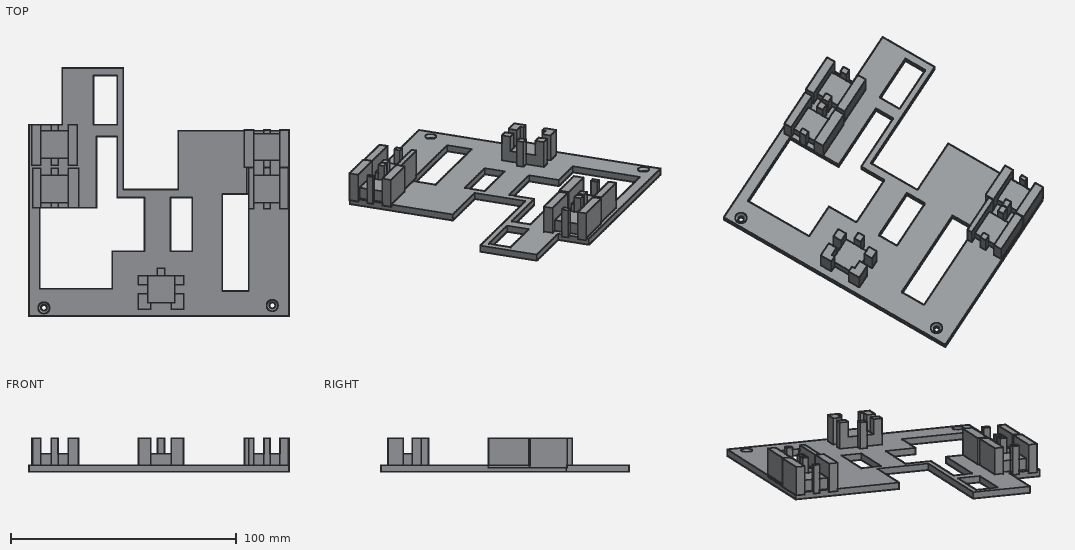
import cadquery as cq

plate_length = 115.5
plate_depth = 110.0
plate_thickness = 3.0
total_height = 15.0
block_top = 8.1
seat_depth = 1.0
seat_floor = plate_thickness - seat_depth

tab_left = 14.8
tab_right = 41.9
left_shoulder_y = 84.9
right_shoulder_y = 82.2
bay_floor_y = 56.2
bay_right = 66.2

opening_left = 5.0
opening_right = 51.3
opening_front = 12.2
opening_step_x = 37.0
shelf_front = 48.0
neck_left = 30.1
neck_right = 39.1
neck_back = 79.6

tab_slot_left = 28.8
tab_slot_back = 106.6
window_left = 62.9
window_right = 72.4
window_front = 28.9
window_back = 52.5
side_slot_left = 85.8
side_slot_right = 97.5
side_slot_front = 11.2
side_slot_back = 54.0

screw_hole_diameter = 2.5
countersink_diameter = 5.1
countersink_angle = 90
screw_hole_centers = [(6.7, 3.7), (108.0, 4.7)]

cradle_center_x = 58.7
cradle_block_size = 12.0
cradle_block_front = 5.9
cradle_side_post = 4.0
cradle_back_post_width = 3.2
cradle_back_post_depth = 3.2
corner_post_front = 3.1
corner_post_back = 9.9
corner_post_inner_offset = 4.5

left_inner_walls = (5.4, 17.4)
left_post_x = (9.9, 13.0)
right_inner_walls = (99.8, 111.3)
right_post_x = (104.3, 107.0)
front_block_y = (50.3, 62.5)
right_front_wall_y = (47.7, 65.7)

clearance_width = 0.9


def box(x_range, y_range, z_range):
    """Box spanning the given coordinate ranges."""
    (x0, x1), (y0, y1), (z0, z1) = x_range, y_range, z_range
    return cq.Workplane("XY").box(x1 - x0, y1 - y0, z1 - z0, centered=False).translate((x0, y0, z0))


def plate_cutter(x_range, y_range):
    """Rectangular cutter through the whole plate."""
    return box(x_range, y_range, (0, plate_thickness))


def make_flat_plate():
    """Stepped plate with its openings and countersunk screw holes."""
    outline = [
        (0, 0),
        (plate_length, 0),
        (plate_length, right_shoulder_y),
        (bay_right, right_shoulder_y),
        (bay_right, bay_floor_y),
        (tab_right, bay_floor_y),
        (tab_right, plate_depth),
        (tab_left, plate_depth),
        (tab_left, left_shoulder_y),
        (0, left_shoulder_y),
    ]
    stepped_opening = [
        (opening_left, opening_front),
        (opening_step_x, opening_front),
        (opening_step_x, window_front),
        (opening_right, window_front),
        (opening_right, window_back),
        (neck_right, window_back),
        (neck_right, neck_back),
        (neck_left, neck_back),
        (neck_left, shelf_front),
        (opening_left, shelf_front),
    ]
    flat = cq.Workplane("XY").polyline(outline).close().extrude(plate_thickness)
    flat = flat.cut(cq.Workplane("XY").polyline(stepped_opening).close().extrude(plate_thickness))
    flat = flat.cut(plate_cutter((tab_slot_left, neck_right), (left_shoulder_y, tab_slot_back)))
    flat = flat.cut(plate_cutter((window_left, window_right), (window_front, window_back)))
    flat = flat.cut(plate_cutter((side_slot_left, side_slot_right), (side_slot_front, side_slot_back)))
    return (
        flat.faces(">Z")
        .workplane(origin=(0, 0, plate_thickness))
        .pushPoints(screw_hole_centers)
        .cskHole(screw_hole_diameter, countersink_diameter, countersink_angle)
    )


def make_cradle():
    """Low block with two rear side posts, two L-shaped front posts and one post behind."""
    post_z = (plate_thickness, total_height)
    half_block = cradle_block_size / 2
    half_width = half_block + cradle_side_post
    half_back_post = cradle_back_post_width / 2
    block_back = cradle_block_front + cradle_block_size
    cradle = box((-half_block, half_block), (cradle_block_front, block_back), (plate_thickness, block_top))
    back_post_y = (block_back, block_back + cradle_back_post_depth)
    cradle = cradle.union(box((-half_back_post, half_back_post), back_post_y, post_z))
    side_x = (half_block, half_width)
    side_post = box(side_x, (block_back - cradle_side_post, block_back), post_z)
    corner_post = box(side_x, (corner_post_front, corner_post_back), post_z).union(
        box((corner_post_inner_offset, half_width), (corner_post_front, cradle_block_front), post_z)
    )
    for post in (side_post, corner_post):
        cradle = cradle.union(post).union(post.mirror("YZ"))
    return cradle.translate((cradle_center_x, 0, 0))


def make_holder(outer_walls, inner_walls, post_x, wall_y, block_y):
    """Low block between two tall side walls, with a post at each open end; its foot sits in the plate."""
    tall_z = (seat_floor, total_height)
    holder = box(inner_walls, block_y, (seat_floor, block_top))
    holder = holder.union(box((outer_walls[0], inner_walls[0]), wall_y, tall_z))
    holder = holder.union(box((inner_walls[1], outer_walls[1]), wall_y, tall_z))
    holder = holder.union(box(post_x, (wall_y[0], block_y[0]), tall_z))
    return holder.union(box(post_x, (block_y[1], wall_y[1]), tall_z))


def make_clearance():
    """Narrow strip at seat depth along the left wall of the right front holder."""
    strip_x = (side_slot_right - clearance_width, side_slot_right)
    strip_y = (side_slot_back, right_front_wall_y[1])
    return box(strip_x, strip_y, (seat_floor, plate_thickness))


holder_layouts = [
    ((1.4, 21.6), left_inner_walls, left_post_x, (67.0, left_shoulder_y), (70.1, 82.2)),
    ((1.8, 22.0), left_inner_walls, left_post_x, (shelf_front, 65.6), front_block_y),
    ((95.6, plate_length), right_inner_walls, right_post_x, (66.0, 82.6), (69.2, 80.8)),
    ((side_slot_right, 115.1), right_inner_walls, right_post_x, right_front_wall_y, front_block_y),
]
holders = [make_holder(*layout) for layout in holder_layouts]

plate = make_flat_plate().union(make_cradle()).cut(make_clearance())
for holder in holders:
    plate = plate.cut(holder)

bodies = [plate, *holders]
result = cq.Compound.makeCompound([body.solids().val() for body in bodies])